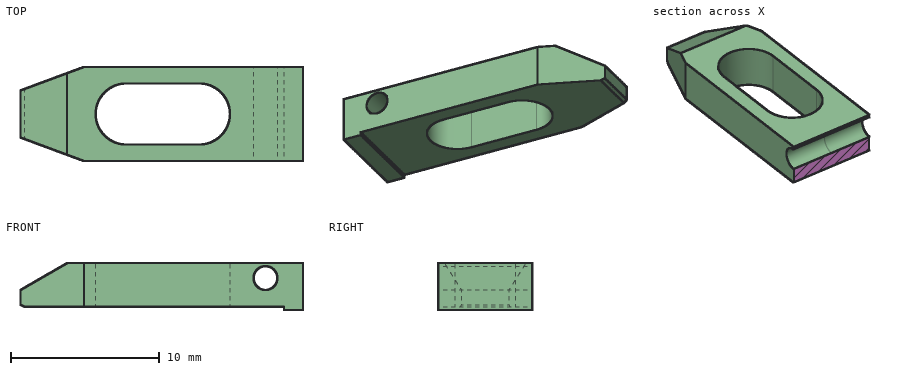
import cadquery as cq
import math

LENGTH = 19.05
WIDTH = 6.35
HEIGHT = 3.175

NOSE_WIDTH = WIDTH / 2
TAPER_LENGTH = 4.28
NOSE_TOP_Z = 1.35
NOSE_SLOPE_ANGLE = 30.0
NOSE_CHAMFER_LENGTH = 0.27
NOSE_CHAMFER_HEIGHT = 0.135

HEEL_LENGTH = 1.3
HEEL_HEIGHT = 0.22

SLOT_START_X = 5.08
SLOT_LENGTH = 9.03
SLOT_WIDTH = 4.1

CROSS_HOLE_DIAMETER = 1.5875
CROSS_HOLE_FROM_REAR = 2.54
CROSS_HOLE_FROM_TOP = 1.02


def side_profile_body():
    """Full-width body with the side outline: nose slope, chamfer and heel."""
    slope_length = (HEIGHT - NOSE_TOP_Z) / math.tan(math.radians(NOSE_SLOPE_ANGLE))
    heel_start_x = LENGTH - HEEL_LENGTH
    outline = [
        (0, HEEL_HEIGHT + NOSE_CHAMFER_HEIGHT),
        (0, NOSE_TOP_Z),
        (slope_length, HEIGHT),
        (LENGTH, HEIGHT),
        (LENGTH, 0),
        (heel_start_x, 0),
        (heel_start_x, HEEL_HEIGHT),
        (NOSE_CHAMFER_LENGTH, HEEL_HEIGHT),
    ]
    return cq.Workplane("XZ").polyline(outline).close().extrude(WIDTH / 2, both=True)


def plan_outline():
    """Full-height prism with the plan outline, narrowing to the nose."""
    outline = [
        (0, -NOSE_WIDTH / 2),
        (TAPER_LENGTH, -WIDTH / 2),
        (LENGTH, -WIDTH / 2),
        (LENGTH, WIDTH / 2),
        (TAPER_LENGTH, WIDTH / 2),
        (0, NOSE_WIDTH / 2),
    ]
    return cq.Workplane("XY").polyline(outline).close().extrude(HEIGHT)


def slot_cutter():
    """Round-ended slot through the full height."""
    slot_center_x = SLOT_START_X + SLOT_LENGTH / 2
    return (
        cq.Workplane("XY")
        .center(slot_center_x, 0)
        .slot2D(SLOT_LENGTH, SLOT_WIDTH)
        .extrude(HEIGHT)
    )


def cross_hole_cutter():
    """Round hole through the full width, behind the slot."""
    return (
        cq.Workplane("XZ")
        .center(LENGTH - CROSS_HOLE_FROM_REAR, HEIGHT - CROSS_HOLE_FROM_TOP)
        .circle(CROSS_HOLE_DIAMETER / 2)
        .extrude(WIDTH / 2, both=True)
    )


body = side_profile_body().intersect(plan_outline())
result = body.cut(slot_cutter()).cut(cross_hole_cutter())